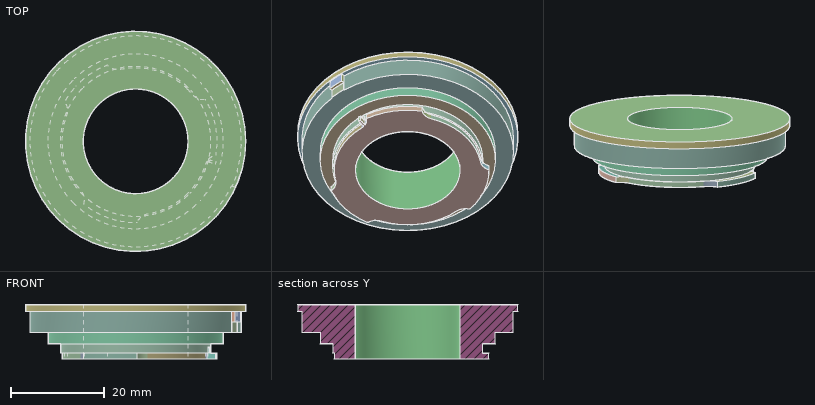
import cadquery as cq
import math

BORE_DIAMETER = 22.25
FLANGE_DIAMETER = 46.9
BODY_DIAMETER = 45.0
STEP_DIAMETER = 37.3
NECK_DIAMETER = 32.0
RING_DIAMETER = 31.35

RING_HEIGHT = 1.25
NECK_HEIGHT = 1.95
STEP_HEIGHT = 2.4
BODY_HEIGHT = 4.5
FLANGE_HEIGHT = 1.5

NECK_BOTTOM = RING_HEIGHT
STEP_BOTTOM = NECK_BOTTOM + NECK_HEIGHT
BODY_BOTTOM = STEP_BOTTOM + STEP_HEIGHT
FLANGE_BOTTOM = BODY_BOTTOM + BODY_HEIGHT
TOTAL_HEIGHT = FLANGE_BOTTOM + FLANGE_HEIGHT

TAB_COUNT = 3
TAB_DIAMETER = 34.6
TAB_CENTER_ANGLE = 10.6
TAB_HALF_ANGLE = 20.3
TAB_ROOT_HALF_ANGLE = 28.8

STOP_ANGLE = -15.0
STOP_THICKNESS = 0.45
STOP_NECK_HEIGHT = 1.3
STOP_PROJECTION = 0.35

LUG_ANGLE = -20.6
LUG_WIDTH = 3.4
LUG_UPPER_HEIGHT = 2.25
LUG_UPPER_PROJECTION = 0.8
LUG_LOWER_PROJECTION = 0.15

EMBED = 0.95


def polar(radius, angle):
    """Point at a radius and an angle in degrees."""
    return (radius * math.cos(math.radians(angle)), radius * math.sin(math.radians(angle)))


def disc(diameter, bottom, height):
    return cq.Workplane("XY").workplane(offset=bottom).circle(diameter / 2).extrude(height)


def radial_block(base_diameter, projection, width, angle, bottom, height):
    """Parallel-sided block that stands out radially from a disc and has a concentric outer face."""
    base_radius = base_diameter / 2
    blank = (
        cq.Workplane("XY")
        .box(EMBED + 2 * projection, width, height, centered=(False, True, False))
        .translate((base_radius - EMBED, 0, bottom))
        .rotate((0, 0, 0), (0, 0, 1), angle)
    )
    return blank.intersect(disc(base_diameter + 2 * projection, bottom, height))


def bayonet_tab(center):
    """Tab whose concave flanks leave the ring tangentially."""
    ring_radius = RING_DIAMETER / 2
    tip_radius = TAB_DIAMETER / 2
    inner_radius = ring_radius - EMBED

    flank_angle = TAB_ROOT_HALF_ANGLE - TAB_HALF_ANGLE
    tip_along, tip_across = polar(tip_radius, flank_angle)
    rise = tip_along - ring_radius
    flank_radius = (rise**2 + tip_across**2) / (2 * rise)
    sweep = math.atan2(tip_across, flank_radius - rise) / 2
    mid_along = ring_radius + flank_radius * (1 - math.cos(sweep))
    mid_across = flank_radius * math.sin(sweep)
    mid_radius = math.hypot(mid_along, mid_across)
    mid_half_angle = TAB_ROOT_HALF_ANGLE - math.degrees(math.atan2(mid_across, mid_along))

    root_start = center - TAB_ROOT_HALF_ANGLE
    root_end = center + TAB_ROOT_HALF_ANGLE
    tip_start = center - TAB_HALF_ANGLE
    tip_end = center + TAB_HALF_ANGLE
    return (
        cq.Workplane("XY")
        .moveTo(*polar(inner_radius, root_start))
        .lineTo(*polar(ring_radius, root_start))
        .threePointArc(polar(mid_radius, center - mid_half_angle), polar(tip_radius, tip_start))
        .threePointArc(polar(tip_radius, center), polar(tip_radius, tip_end))
        .threePointArc(polar(mid_radius, center + mid_half_angle), polar(ring_radius, root_end))
        .lineTo(*polar(inner_radius, root_end))
        .threePointArc(polar(inner_radius, center), polar(inner_radius, root_start))
        .close()
        .extrude(RING_HEIGHT)
    )


def rotation_stop():
    tab_to_ring = (TAB_DIAMETER - RING_DIAMETER) / 2
    lower = radial_block(
        RING_DIAMETER, tab_to_ring + STOP_PROJECTION, STOP_THICKNESS, STOP_ANGLE, 0, RING_HEIGHT
    )
    upper = radial_block(
        NECK_DIAMETER, STOP_PROJECTION, STOP_THICKNESS, STOP_ANGLE, NECK_BOTTOM, STOP_NECK_HEIGHT
    )
    return lower.union(upper)


def index_lug():
    upper_bottom = FLANGE_BOTTOM - LUG_UPPER_HEIGHT
    lower_height = upper_bottom - BODY_BOTTOM
    upper = radial_block(
        BODY_DIAMETER, LUG_UPPER_PROJECTION, LUG_WIDTH, LUG_ANGLE, upper_bottom, LUG_UPPER_HEIGHT
    )
    lower = radial_block(
        BODY_DIAMETER, LUG_LOWER_PROJECTION, LUG_WIDTH, LUG_ANGLE, BODY_BOTTOM, lower_height
    )
    return upper.union(lower)


result = disc(RING_DIAMETER, 0, RING_HEIGHT)
result = result.union(disc(NECK_DIAMETER, NECK_BOTTOM, NECK_HEIGHT))
result = result.union(disc(STEP_DIAMETER, STEP_BOTTOM, STEP_HEIGHT))
result = result.union(disc(BODY_DIAMETER, BODY_BOTTOM, BODY_HEIGHT))
result = result.union(disc(FLANGE_DIAMETER, FLANGE_BOTTOM, FLANGE_HEIGHT))

for index in range(TAB_COUNT):
    result = result.union(bayonet_tab(TAB_CENTER_ANGLE + index * 360 / TAB_COUNT))

result = result.union(rotation_stop())
result = result.union(index_lug())
result = result.cut(disc(BORE_DIAMETER, 0, TOTAL_HEIGHT))